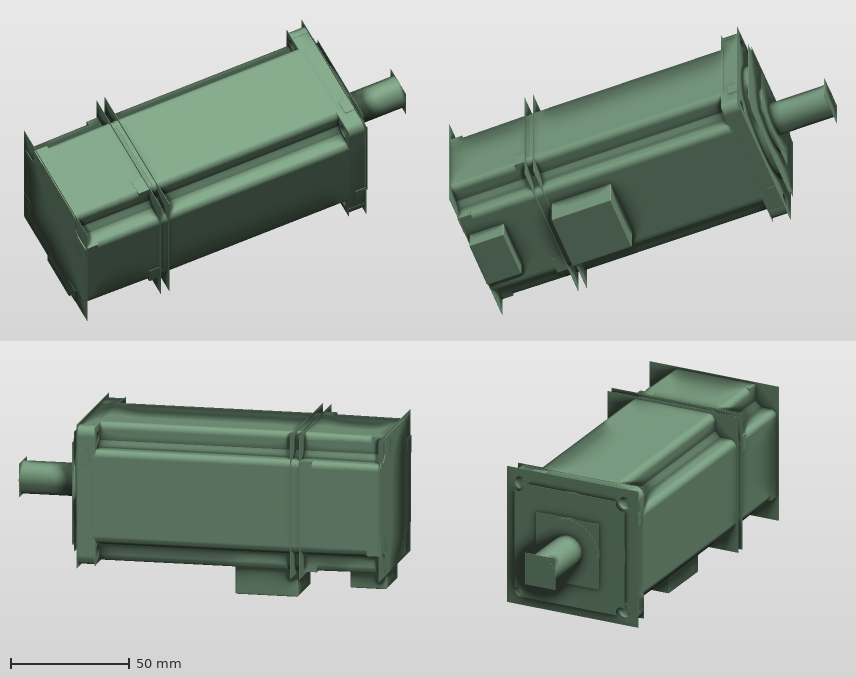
import cadquery as cq
import math


overall_length = 162
overall_height = 74.3

body_width = 60.0
half_width = body_width / 2
lobe_half_width = 20.0
lobe_edge_radius = 2.9
notch_chamfer = 2.5

sheet_width = 62.3
sheet_thickness = 0.2
cover_sheet_width = 61.4
boss_sheet_width = 30.0
pilot_sheet_width = 52.1

shaft_diameter = 14.1
shaft_tip_y = 30.5
shaft_sheet_width = 14.4

flange_thickness = 7.8
flange_corner_radius = 4.0
flange_step = 1.1
flange_relief = 0.2
flange_relief_width = 49.5
flange_lobe_front_y = -6.8
pilot_diameter = 50.0
pilot_height = 3.0
shoulder_diameter = 50.4
shoulder_height = 1.1
boss_diameter = 29.0
boss_height = 2.0
bolt_offset = 24.8
bolt_hole_diameter = 5.5

flange_rear_y = -flange_thickness - flange_step
bracket_front_y = -92.6
bracket_step_y = -94.5
bracket_inset = 0.2
cover_front_y = -96.7
rear_y = shaft_tip_y - overall_length
cover_sheet_y = rear_y + 0.5
cover_taper_angle = 0.7

pad_rise = 0.2
flange_pad_inner = 14.0
flange_pad_outer = 20.2
flange_pad_length = 4.5
front_pad_inner = 13.0
front_pad_length = 5.0
rear_pad_inner = 12.0
rear_pad_length = 6.0
pad_height = 7.6
cover_shrink = 0.3
pad_radius = 2.9

power_width = 25.0
power_length = 27.0
power_rear_y = -91.8
power_bottom_z = sheet_width / 2 - overall_height
encoder_width = 21.0
encoder_length = 15.7
encoder_rear_y = -129.9
encoder_bottom_z = -38.4
socket_edge_radius = 0.5


def plane_at(y):
    """XZ sketch plane at the given Y; a positive extrusion runs toward -Y."""
    return cq.Workplane("XZ", origin=(0, y, 0))


def sheet(width, front_y):
    """Thin square sheet whose +Y face lies at front_y."""
    return plane_at(front_y).rect(width, width).extrude(sheet_thickness)


def lobed_bar(front_y, length, taper=0, inset=0):
    """Square bar with a chamfered notch cut along each corner; inset shrinks the outline."""
    wall = lobe_half_width - inset
    edge = half_width - inset
    inner = wall + notch_chamfer
    tangent = edge - lobe_edge_radius
    flat = wall - lobe_edge_radius
    bulge = lobe_edge_radius * (1 - math.sqrt(0.5))

    def turned(point, quarter):
        x, z = point
        for _ in range(quarter):
            x, z = -z, x
        return (x, z)

    outline = plane_at(front_y).moveTo(edge, -flat)
    for quarter in range(4):
        outline = (
            outline
            .lineTo(*turned((edge, flat), quarter))
            .threePointArc(turned((edge - bulge, wall - bulge), quarter), turned((tangent, wall), quarter))
            .lineTo(*turned((inner, wall), quarter))
            .lineTo(*turned((wall, inner), quarter))
            .lineTo(*turned((wall, tangent), quarter))
            .threePointArc(turned((wall - bulge, edge - bulge), quarter), turned((flat, edge), quarter))
        )
    return outline.close().extrude(length, taper=taper)


def corner_pads(start, end, top, front_y, length, rounded):
    """Four pads, one per side, spanning start..end sideways and reaching up to top."""
    pad = cq.Workplane("XY").box(abs(end - start), length, pad_height)
    if rounded:
        pad = pad.edges("|Y and >X and <Z").fillet(pad_radius)
    pad = pad.translate(((start + end) / 2, front_y - length / 2, top - pad_height / 2))
    pads = pad
    for quarter in range(1, 4):
        pads = pads.add(pad.rotate((0, 0, 0), (0, 1, 0), 90 * quarter))
    return pads.combine()


def socket(width, length, socket_rear_y, bottom_z):
    """Rectangular socket from the notch depth down to bottom_z."""
    height = -lobe_half_width - bottom_z
    return (
        cq.Workplane("XY", origin=(0, socket_rear_y + length / 2, bottom_z))
        .rect(width, length)
        .extrude(height)
        .edges("|Z or <Z").fillet(socket_edge_radius)
    )


def shaft_bar():
    """Round bar from the shaft tip to the rear of the flange; it also cuts the shaft hole."""
    return plane_at(shaft_tip_y).circle(shaft_diameter / 2).extrude(shaft_tip_y - flange_rear_y)


def make_shaft():
    return shaft_bar().union(sheet(shaft_sheet_width, shaft_tip_y - sheet_thickness))


def make_flange():
    flange = (
        plane_at(0).rect(body_width, body_width).extrude(flange_thickness)
        .edges("|Y").fillet(flange_corner_radius)
    )
    pilot = plane_at(pilot_height).circle(pilot_diameter / 2).extrude(pilot_height)
    boss = plane_at(pilot_height + boss_height).circle(boss_diameter / 2).extrude(boss_height)
    shoulder = plane_at(shoulder_height).circle(shoulder_diameter / 2).extrude(shoulder_height)
    relief = cq.Workplane("XZ").rect(flange_relief_width, flange_relief).extrude(flange_thickness)
    for quarter in range(4):
        side = relief.translate((0, 0, half_width - flange_relief / 2))
        flange = flange.cut(side.rotate((0, 0, 0), (0, 1, 0), 90 * quarter))
    flange = flange.union(pilot).union(shoulder).union(boss)
    flange = flange.union(lobed_bar(flange_lobe_front_y, flange_lobe_front_y - flange_rear_y))
    flange = flange.union(sheet(sheet_width, 0))
    flange = flange.union(sheet(body_width, sheet_thickness - flange_thickness))
    flange = flange.union(sheet(pilot_sheet_width, pilot_height))
    flange = flange.union(sheet(boss_sheet_width, pilot_height + boss_height - sheet_thickness))
    pads = corner_pads(flange_pad_inner, flange_pad_outer, half_width + pad_rise, 0, flange_pad_length, False)
    flange = flange.union(pads)
    bolt_holes = (
        plane_at(pilot_height).rect(2 * bolt_offset, 2 * bolt_offset, forConstruction=True).vertices()
        .circle(bolt_hole_diameter / 2).extrude(pilot_height + flange_thickness)
    )
    return flange.cut(bolt_holes).cut(shaft_bar())


def make_housing():
    housing = lobed_bar(flange_rear_y, flange_rear_y - bracket_front_y)
    return housing.union(socket(power_width, power_length, power_rear_y, power_bottom_z))


def make_bracket():
    bracket = lobed_bar(bracket_front_y, bracket_front_y - bracket_step_y)
    bracket = bracket.union(lobed_bar(bracket_step_y, bracket_step_y - cover_front_y, inset=bracket_inset))
    bracket = bracket.union(sheet(sheet_width, bracket_front_y))
    return bracket.union(sheet(sheet_width, cover_front_y + sheet_thickness))


def make_cover():
    cover = lobed_bar(cover_front_y, cover_front_y - rear_y - pad_rise, cover_taper_angle)
    front_pads = corner_pads(
        front_pad_inner, lobe_half_width, half_width + pad_rise, cover_front_y, front_pad_length, False
    )
    rear_pads = corner_pads(
        -rear_pad_inner, cover_shrink - lobe_half_width, half_width - cover_shrink,
        rear_y + rear_pad_length, rear_pad_length, True,
    )
    cover = cover.union(front_pads).union(rear_pads)
    cover = cover.union(sheet(cover_sheet_width, cover_sheet_y + sheet_thickness))
    return cover.union(socket(encoder_width, encoder_length, encoder_rear_y, encoder_bottom_z))


shaft = make_shaft()
flange = make_flange()
housing = make_housing()
bracket = make_bracket()
cover = make_cover()

bodies = [shaft, flange, housing, bracket, cover]
result = cq.Compound.makeCompound([body.solids().val() for body in bodies])